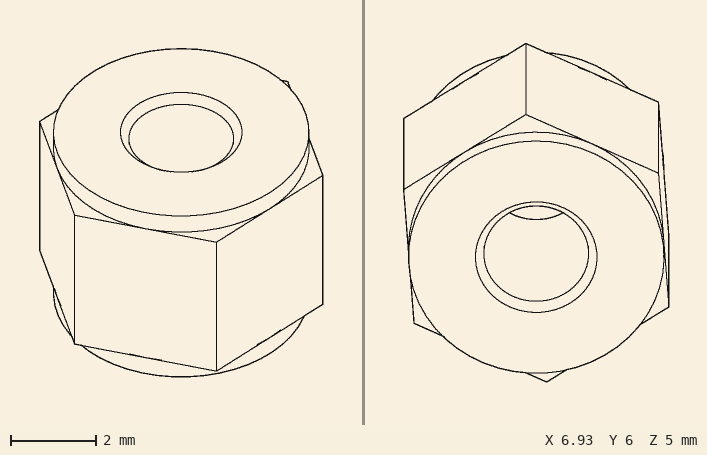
import cadquery as cq
import math

across_corners = 6.93
across_flats = across_corners * math.cos(math.pi / 6)
total_height = 5.0
collar_height = 0.5
collar_diameter = across_flats
bore_diameter = 2.46
chamfer_diameter = 2.855
bore_chamfer = (chamfer_diameter - bore_diameter) / 2

round_body = cq.Workplane("XY").circle(collar_diameter / 2).extrude(total_height)

hex_body = (
    cq.Workplane("XY")
    .workplane(offset=collar_height)
    .polygon(6, across_corners)
    .extrude(total_height - 2 * collar_height)
)

blank = round_body.union(hex_body)
bored = blank.cut(cq.Workplane("XY").circle(bore_diameter / 2).extrude(total_height))
bore_mouths = bored.edges(cq.selectors.RadiusNthSelector(0)).edges("<Z or >Z")
result = bore_mouths.chamfer(bore_chamfer)